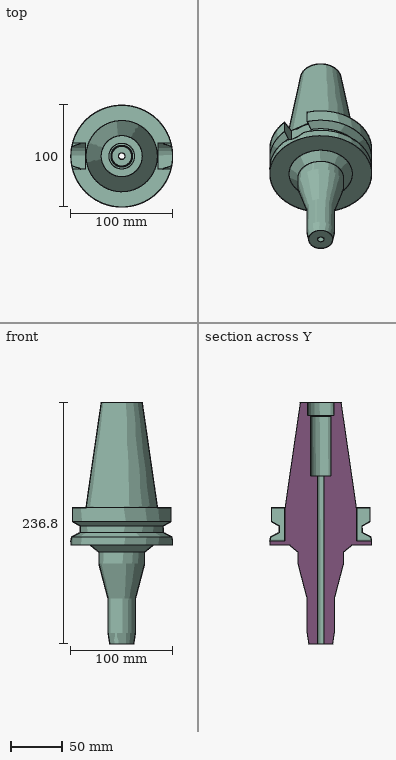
import cadquery as cq

total_height = 236.8
gauge_line_z = 135.0
flange_top_z = 133.5
flange_bottom_z = 96.9
groove_upper_edge_z = 119.8
groove_upper_floor_z = 115.5
groove_lower_floor_z = 109.2
groove_lower_edge_z = 105.0
collar_top_z = 90.0
collar_bottom_z = 78.5
shank_top_z = 44.3
shank_bottom_z = 10.7

flange_radius = 50.0
groove_radius = 42.6
gauge_radius = 34.93
taper_small_radius = 20.1
flange_cone_radius = 31.0
collar_radius = 22.5
shank_radius = 13.5
tip_radius = 11.8

slot_width = 25.5
slot_floor_x = 35.3
slot_bottom_z = 101.0

bore_radius = 12.5
bore_depth = 12.8
thread_radius = 9.7
thread_chamfer = 1.0
thread_depth = 59.2
through_radius = 3.0


def revolve_about_z(profile):
    """Turn (radius, z) points, closed along the Z axis, into a solid."""
    axis_ends = [(0, profile[-1][1]), (0, profile[0][1])]
    return cq.Workplane("XZ").polyline(profile + axis_ends).close().revolve(360, (0, 0), (0, 1))


def holder_body():
    return revolve_about_z([
        (tip_radius, 0),
        (shank_radius, shank_bottom_z),
        (shank_radius, shank_top_z),
        (collar_radius, collar_bottom_z),
        (collar_radius, collar_top_z),
        (flange_cone_radius, flange_bottom_z),
        (flange_radius, flange_bottom_z),
        (flange_radius, groove_lower_edge_z),
        (groove_radius, groove_lower_floor_z),
        (groove_radius, groove_upper_floor_z),
        (flange_radius, groove_upper_edge_z),
        (flange_radius, flange_top_z),
        (gauge_radius, flange_top_z),
        (gauge_radius, gauge_line_z),
        (taper_small_radius, total_height),
    ])


def stepped_bore():
    bore_floor_z = total_height - bore_depth
    thread_floor_z = bore_floor_z - thread_depth
    return revolve_about_z([
        (through_radius, 0),
        (through_radius, thread_floor_z),
        (thread_radius, thread_floor_z),
        (thread_radius, bore_floor_z - thread_chamfer),
        (thread_radius + thread_chamfer, bore_floor_z),
        (bore_radius, bore_floor_z),
        (bore_radius, total_height),
    ])


def drive_slot(side):
    """Round-bottomed slot, open at the top; side is +1 or -1 along X."""
    half_width = slot_width / 2
    arc_center_z = slot_bottom_z + half_width
    return (
        cq.Workplane("YZ", origin=(side * slot_floor_x, 0, 0))
        .moveTo(-half_width, flange_top_z)
        .lineTo(-half_width, arc_center_z)
        .threePointArc((0, slot_bottom_z), (half_width, arc_center_z))
        .lineTo(half_width, flange_top_z)
        .close()
        .extrude(side * flange_radius)
    )


result = holder_body().cut(stepped_bore())
for side in (-1, 1):
    result = result.cut(drive_slot(side))